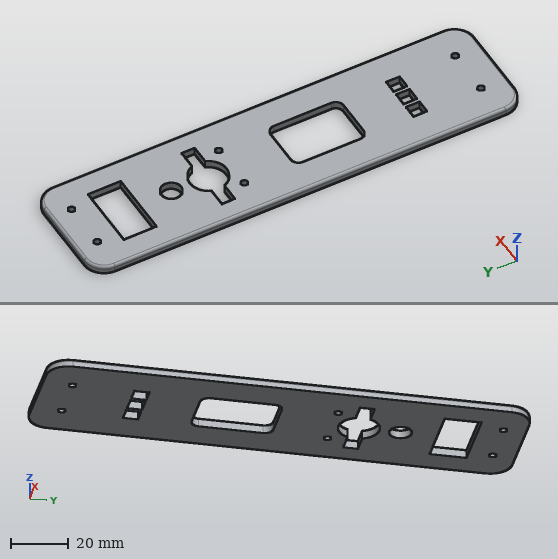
import cadquery as cq

width = 44.0
length = 170.3
thickness = 3.0
corner_radius = 7.8
edge_radius = 1.0

screw_diameter = 2.5
screw_spacing = 18.0
screw_rows = [77.1, 18.9, -74.7]

display_width = 25.2
display_height = 13.0
display_y = 62.1

round_hole_diameter = 7.8
round_hole_y = 42.7

dial_diameter = 14.5
dial_slot_length = 28.3
dial_slot_width = 5.1
dial_y = 28.1

socket_width = 20.1
socket_height = 28.8
socket_radius = 3.0
socket_y = -15.0

square_count = 3
square_side = 5.3
square_pitch = 7.0
square_y = -50.4


def box_cutter(size_x, size_y, y):
    """Rectangular through-cutter centred on the plate's long axis."""
    return cq.Workplane("XY").center(0, y).rect(size_x, size_y).extrude(thickness)


def round_cutter(diameter, y):
    """Round through-cutter centred on the plate's long axis."""
    return cq.Workplane("XY").center(0, y).circle(diameter / 2).extrude(thickness)


def make_plate():
    """Rounded plate with a rounded top edge."""
    blank = cq.Workplane("XY").rect(width, length).extrude(thickness)
    rounded = blank.edges("|Z").fillet(corner_radius)
    return rounded.faces(">Z").edges().fillet(edge_radius)


def screw_cutters():
    """Through-cutters for every pair of screw holes."""
    points = [(side * screw_spacing / 2, y) for y in screw_rows for side in (-1, 1)]
    return cq.Workplane("XY").pushPoints(points).circle(screw_diameter / 2).extrude(thickness)


def dial_cutter():
    """Round opening joined with its crossing slot."""
    slot = box_cutter(dial_slot_length, dial_slot_width, dial_y)
    return round_cutter(dial_diameter, dial_y).union(slot)


def socket_cutter():
    """Rectangular cutter with rounded corners."""
    return box_cutter(socket_width, socket_height, socket_y).edges("|Z").fillet(socket_radius)


def square_cutters():
    """Evenly spaced row of square cutters."""
    row = cq.Workplane("XY").center(0, square_y).rarray(square_pitch, 1.7, square_count, 1)
    return row.rect(square_side, square_side).extrude(thickness)


result = (
    make_plate()
    .cut(screw_cutters())
    .cut(box_cutter(display_width, display_height, display_y))
    .cut(round_cutter(round_hole_diameter, round_hole_y))
    .cut(dial_cutter())
    .cut(socket_cutter())
    .cut(square_cutters())
)